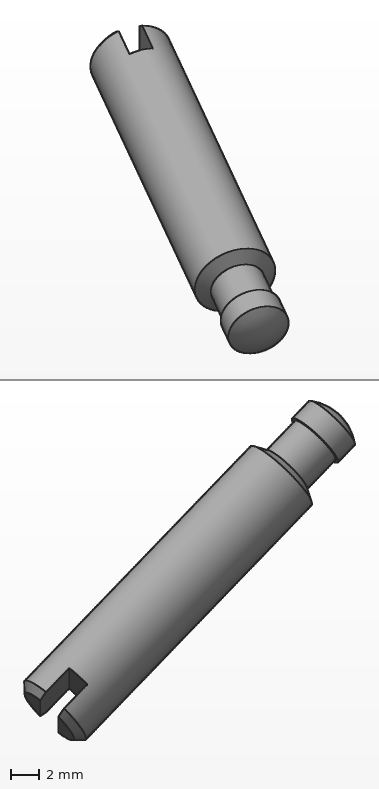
import cadquery as cq

length = 30.0
body_diameter = 6.0
neck_diameter = 4.0
head_diameter = 4.5

dome_height = 0.75
head_length = 2.5
neck_length = 2.95

slotted_end_chamfer = 0.6
neck_end_bevel_length = 0.57

slot_width = 1.75
slot_depth = 3.0

slotted_end = -length / 2
tip = length / 2
head_start = tip - head_length
body_end = head_start - neck_length
dome_start = tip - dome_height

body_radius = body_diameter / 2
neck_radius = neck_diameter / 2
head_radius = head_diameter / 2
dome_radius = (head_radius**2 + dome_height**2) / (2 * dome_height)


def turned_pin():
    """Revolve the half profile of body, neck and domed head about X."""
    mid_radius = head_radius / 2
    mid_x = tip - dome_radius + (dome_radius**2 - mid_radius**2) ** 0.5
    profile = (
        cq.Workplane("XY")
        .moveTo(slotted_end, 0)
        .lineTo(slotted_end, body_radius - slotted_end_chamfer)
        .lineTo(slotted_end + slotted_end_chamfer, body_radius)
        .lineTo(body_end - neck_end_bevel_length, body_radius)
        .lineTo(body_end, neck_radius)
        .lineTo(head_start, neck_radius)
        .lineTo(head_start, head_radius)
        .lineTo(dome_start, head_radius)
        .threePointArc((mid_x, mid_radius), (tip, 0))
        .close()
    )
    return profile.revolve(360, (0, 0, 0), (1, 0, 0))


def screwdriver_slot():
    """Block that cuts the slot right through the end face along Z."""
    return cq.Workplane("XY").box(slot_depth, slot_width, body_diameter).translate(
        (slotted_end + slot_depth / 2, 0, 0)
    )


result = turned_pin().cut(screwdriver_slot())